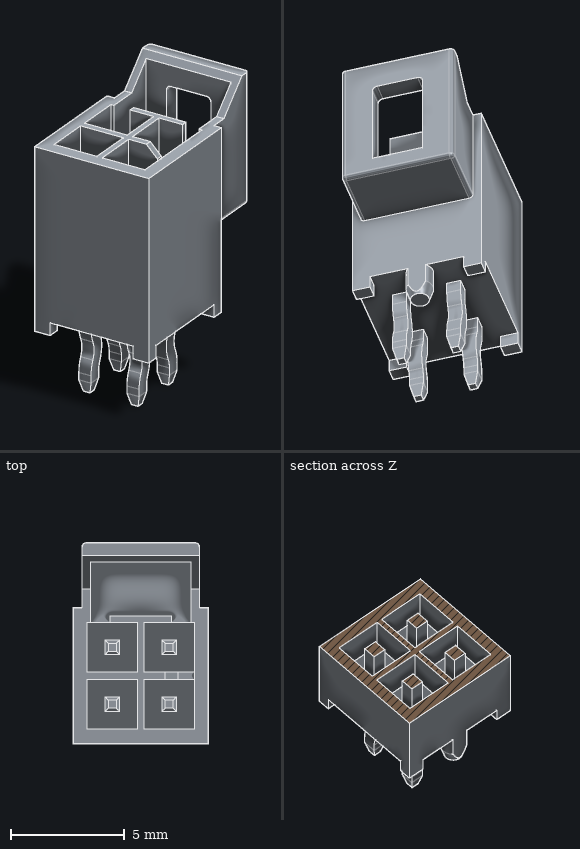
import cadquery as cq
import math

body_width = 5.94
body_depth = 5.98
body_top = 8.43
foot_width = 0.81
foot_depth = 0.6
foot_height = 0.62

pitch = 2.5
cell_width = 2.22
cell_depth = 2.18
cell_floor = 1.5

notch_start = 1.06
notch_ramp = 0.57
notch_depth = 3.0

shroud_width = 5.17
shroud_depth = 2.86
shroud_rise = 1.48
shroud_height = 6.46
shroud_lip = 0.56
shroud_wall = 0.85
shroud_round = 0.2
shroud_bottom_round = 0.18
pocket_width = 4.41
pocket_floor_thickness = 0.85
rear_wall_width = 2.72
rear_wall_thickness = 0.285
window_width = 2.3
window_rise = 0.155
window_corner = 0.22

pin_size = 0.64
pin_tip_size = 0.35
pin_tip_length = 0.58
pin_length = 3.8
contact_top = 5.5
kink_start = 0.56
kink_offset = 0.25
kink_arc_height = 0.575

peg_diameter = 1.21
peg_tip_diameter = 0.83
peg_length = 1.6
peg_cone_length = 0.62
peg_center_to_rear = 0.45

rear_face = body_depth / 2
shroud_rear = rear_face + shroud_depth
shroud_top = body_top + shroud_rise
shroud_bottom = shroud_top - shroud_height
pocket_floor = shroud_bottom + pocket_floor_thickness
pocket_rear = shroud_rear - shroud_wall
cells_rear = pitch / 2 + cell_depth / 2
pin_centers = [(sx * pitch / 2, sy * pitch / 2) for sx in (-1, 1) for sy in (-1, 1)]


def box(x_range, y_range, z_range):
    """Axis-aligned block spanning the given (low, high) ranges."""
    lows, highs = zip(x_range, y_range, z_range)
    sizes = [high - low for low, high in zip(lows, highs)]
    return cq.Workplane("XY").box(*sizes, centered=False).translate(lows)


def centered(width, middle=0.0):
    """Range of the given width about a middle value."""
    return (middle - width / 2, middle + width / 2)


def make_body():
    """Rectangular housing standing on four corner feet."""
    body = box(centered(body_width), centered(body_depth), (0, body_top))
    for sx in (-1, 1):
        for sy in (-1, 1):
            foot_x = sx * (body_width - foot_width) / 2
            foot_y = sy * (body_depth - foot_depth) / 2
            foot = box(centered(foot_width, foot_x), centered(foot_depth, foot_y), (-foot_height, 0))
            body = body.union(foot)
    return body


def make_shroud():
    """Latch block with rounded outer edges and a 45 degree slope down to the body top."""
    slope_end = shroud_rear - shroud_lip - shroud_rise
    block = (
        box(centered(shroud_width), (rear_face, shroud_rear), (shroud_bottom, shroud_top))
        .edges("|Z and >Y").fillet(shroud_round)
        .faces("<Z").edges("not <Y").fillet(shroud_bottom_round)
    )
    slope = (
        cq.Workplane("YZ")
        .moveTo(rear_face, body_top)
        .lineTo(slope_end, body_top)
        .lineTo(slope_end + shroud_rise, shroud_top)
        .lineTo(rear_face, shroud_top)
        .close()
        .extrude(shroud_width / 2, both=True)
    )
    return block.cut(slope)


def make_latch_pocket():
    """Space inside the shroud, open to the cells on both sides of a short rear wall."""
    pocket = box(centered(pocket_width), (cells_rear, pocket_rear), (pocket_floor, shroud_top))
    rear_wall = box(
        centered(rear_wall_width),
        (cells_rear, cells_rear + rear_wall_thickness),
        (pocket_floor, body_top),
    )
    return pocket.cut(rear_wall)


def make_window():
    """Opening through the shroud's rear wall with rounded upper corners."""
    window_top = body_top + window_rise
    opening = box(centered(window_width), (pocket_rear, shroud_rear), (pocket_floor, window_top))
    return opening.edges("|Y and >Z").fillet(window_corner)


def make_divider_notch():
    """Notch, entered by a 45 degree ramp, at the outer end of the divider between the two +X cells."""
    divider_thickness = pitch - cell_depth
    ramp_end = notch_start + notch_ramp
    cell_outer = pitch / 2 + cell_width / 2
    return (
        cq.Workplane("XZ")
        .moveTo(notch_start, body_top)
        .lineTo(ramp_end, body_top - notch_ramp)
        .lineTo(ramp_end, body_top - notch_depth)
        .lineTo(cell_outer, body_top - notch_depth)
        .lineTo(cell_outer, body_top)
        .close()
        .extrude(divider_thickness / 2, both=True)
    )


def make_tip(direction):
    """Square tapered tip growing from z = 0 along +Z (direction 1) or -Z (direction -1)."""
    return (
        cq.Workplane("XY")
        .rect(pin_size, pin_size)
        .workplane(offset=direction * pin_tip_length)
        .rect(pin_tip_size, pin_tip_size)
        .loft()
    )


def make_tail(bend_side):
    """Square pin tail below the housing with a kink toward bend_side along Y."""
    mid_offset = bend_side * kink_offset / 2
    bend_angle = 2 * math.atan2(kink_offset / 2, kink_arc_height)
    bend_radius = kink_arc_height / math.sin(bend_angle)
    half_drop = bend_radius * math.sin(bend_angle / 2)
    half_shift = bend_side * bend_radius * (1 - math.cos(bend_angle / 2))
    peak = bend_side * kink_offset
    kink_levels = [-kink_start - step * kink_arc_height for step in range(5)]
    path = (
        cq.Workplane("YZ")
        .moveTo(0, 0)
        .lineTo(0, kink_levels[0])
        .threePointArc((half_shift, kink_levels[0] - half_drop), (mid_offset, kink_levels[1]))
        .threePointArc((peak - half_shift, kink_levels[2] + half_drop), (peak, kink_levels[2]))
        .threePointArc((peak - half_shift, kink_levels[2] - half_drop), (mid_offset, kink_levels[3]))
        .threePointArc((half_shift, kink_levels[4] + half_drop), (0, kink_levels[4]))
        .lineTo(0, pin_tip_length - pin_length)
    )
    shank = cq.Workplane("XY").rect(pin_size, pin_size).sweep(path)
    return shank.union(make_tip(-1).translate((0, 0, pin_tip_length - pin_length)))


def make_contact():
    """Straight tapered contact standing on the cell floor."""
    shank_top = contact_top - pin_tip_length
    shank = box(centered(pin_size), centered(pin_size), (0, shank_top))
    return shank.union(make_tip(1).translate((0, 0, shank_top)))


def make_peg():
    """Round locating peg with a conical end, trimmed flush with the rear face."""
    radius = peg_diameter / 2
    peg_y = rear_face - peg_center_to_rear
    peg = (
        cq.Workplane("XZ")
        .lineTo(radius, 0)
        .lineTo(radius, peg_cone_length - peg_length)
        .lineTo(peg_tip_diameter / 2, -peg_length)
        .lineTo(0, -peg_length)
        .close()
        .revolve(360, (0, 0), (0, 1))
        .translate((0, peg_y, 0))
    )
    keep = box(centered(peg_diameter), (peg_y - radius, rear_face), (-peg_length, 0))
    return peg.intersect(keep)


result = make_body().union(make_shroud())
result = result.cut(make_latch_pocket()).cut(make_window()).cut(make_divider_notch())
for x, y in pin_centers:
    cell = box(centered(cell_width, x), centered(cell_depth, y), (cell_floor, body_top))
    result = result.cut(cell)
for x, y in pin_centers:
    bend_side = -math.copysign(1, y)
    result = result.union(make_contact().translate((x, y, 0)))
    result = result.union(make_tail(bend_side).translate((x, y, 0)))
result = result.union(make_peg())